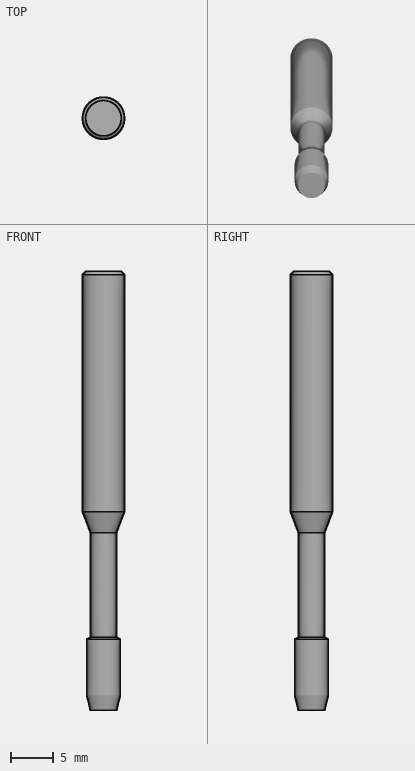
import cadquery as cq

overall_length = 52.0

shank_radius = 5.0 / 2
shank_length = 28.5
shank_chamfer = 0.4
shank_bottom = overall_length - shank_length

neck_radius = 3.1 / 2
neck_taper_height = 2.5
neck_top = shank_bottom - neck_taper_height

cutter_radius = 4.0 / 2
cutter_shoulder = 8.4
shoulder_height = 0.26
head_top = cutter_shoulder + shoulder_height
tip_radius = 3.14 / 2
tip_taper_height = 1.75


def turned_body(profile):
    """Revolve a closed (radius, height) outline about the Z axis, starting at -Y."""
    outline = [(-radius, height) for radius, height in profile]
    return cq.Workplane("YZ").polyline(outline).close().revolve(360, (0, 0), (0, 1))


def make_shank():
    """Chamfered cylindrical shank that tapers down to a slim neck."""
    return turned_body([
        (0, head_top),
        (neck_radius, head_top),
        (neck_radius, neck_top),
        (shank_radius, shank_bottom),
        (shank_radius, overall_length - shank_chamfer),
        (shank_radius - shank_chamfer, overall_length),
        (0, overall_length),
    ])


def make_cutting_head():
    """Cutting cylinder with a tapered tip and a sloped shoulder up to the neck."""
    return turned_body([
        (0, 0),
        (tip_radius, 0),
        (cutter_radius, tip_taper_height),
        (cutter_radius, cutter_shoulder),
        (neck_radius, head_top),
        (0, head_top),
    ])


shank = make_shank()
cutting_head = make_cutting_head()

result = cq.Compound.makeCompound([shank.val(), cutting_head.val()])